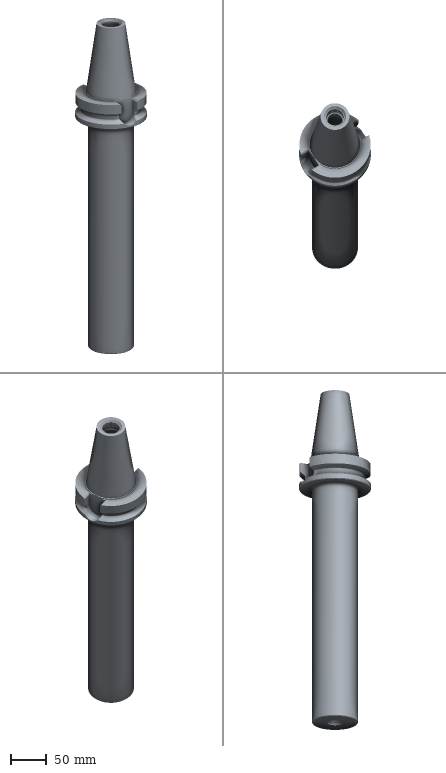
import cadquery as cq
import math


gauge_dia = 69.85
taper_length = 101.8
taper_ratio = 7 / 24
taper_tip_dia = gauge_dia - taper_ratio * taper_length

collar_dia = 72.5
collar_height = 1.5

flange_dia = 100.0
upper_flange_dia = 99.4
flange_bottom_z = -38.0
flange_bottom_chamfer = 1.0
groove_root_dia = 85.0
groove_center_z = -23.0
groove_outer_width = 15.0
groove_flank_angle = 30.0
groove_root_fillet = 0.5

slot_width = 25.7
slot_floor_x = 35.4
slot_bottom_z = -35.0
slot_top_chamfer = 2.0
slot_rim_chamfer = 1.0

bar_dia = 64.0
bar_length = 380.0
bar_root_fillet = 4.0
bar_end_chamfer = 1.0

bore_dia = 21.0
counterbore_dia = 24.5
counterbore_depth = 10.5
mouth_dia = 31.0
mouth_bottom_dia = 26.0
mouth_depth = 2.5

sleeve_outer_dia = 24.0
sleeve_inner_dia = bore_dia
sleeve_top_depth = 14.0
sleeve_length = 45.0
sleeve_top_z = taper_length - sleeve_top_depth
sleeve_bottom_z = sleeve_top_z - sleeve_length


def make_blank():
    """Taper, collar, grooved flange and bar, revolved about Z."""
    flange_r = flange_dia / 2
    upper_flange_r = upper_flange_dia / 2
    root_r = groove_root_dia / 2
    bar_r = bar_dia / 2
    flank_slope = math.tan(math.radians(groove_flank_angle))
    lower_flank_height = (flange_r - root_r) * flank_slope
    upper_flank_height = (upper_flange_r - root_r) * flank_slope
    groove_top_z = groove_center_z + groove_outer_width / 2
    groove_bottom_z = groove_center_z - groove_outer_width / 2
    fillet_offset = bar_root_fillet * (1 - math.sqrt(0.5))

    profile = (
        cq.Workplane("XZ")
        .moveTo(0, taper_length)
        .lineTo(taper_tip_dia / 2, taper_length)
        .lineTo(gauge_dia / 2, 0)
        .lineTo(collar_dia / 2, 0)
        .lineTo(collar_dia / 2, -collar_height)
        .lineTo(upper_flange_r, -collar_height)
        .lineTo(upper_flange_r, groove_top_z)
        .lineTo(root_r, groove_top_z - upper_flank_height)
        .lineTo(root_r, groove_bottom_z + lower_flank_height)
        .lineTo(flange_r, groove_bottom_z)
        .lineTo(flange_r, flange_bottom_z + flange_bottom_chamfer)
        .lineTo(flange_r - flange_bottom_chamfer, flange_bottom_z)
        .lineTo(bar_r + bar_root_fillet, flange_bottom_z)
        .threePointArc(
            (bar_r + fillet_offset, flange_bottom_z - fillet_offset),
            (bar_r, flange_bottom_z - bar_root_fillet),
        )
        .lineTo(bar_r, -bar_length + bar_end_chamfer)
        .lineTo(bar_r - bar_end_chamfer, -bar_length)
        .lineTo(0, -bar_length)
        .close()
    )
    blank = profile.revolve(360, (0, 0, 0), (0, 1, 0))
    groove_root_box = cq.selectors.BoxSelector(
        (-flange_r, -flange_r, groove_bottom_z + lower_flank_height / 2),
        (flange_r, flange_r, groove_top_z - upper_flank_height / 2),
        boundingbox=True,
    )
    return blank.edges(groove_root_box).edges("%CIRCLE").fillet(groove_root_fillet)


def make_drive_slot(side):
    """Cutter for one drive slot and its edge chamfers; side is +1 or -1 along X."""
    half_width = slot_width / 2
    arc_center_z = slot_bottom_z + half_width
    reach = flange_dia / 2 - slot_floor_x
    top_half_width = half_width + slot_top_chamfer
    rim_half_width = half_width + slot_rim_chamfer
    plane = cq.Plane(origin=(side * slot_floor_x, 0, 0), xDir=(0, 1, 0), normal=(side, 0, 0))
    up = plane.yDir.z

    slot = (
        cq.Workplane(plane)
        .moveTo(-half_width, 0)
        .lineTo(-half_width, up * arc_center_z)
        .threePointArc((0, up * slot_bottom_z), (half_width, up * arc_center_z))
        .lineTo(half_width, 0)
        .close()
        .extrude(reach)
    )
    top_chamfer = (
        cq.Workplane(plane)
        .polyline([
            (-top_half_width, -up * collar_height),
            (top_half_width, -up * collar_height),
            (0, -up * (collar_height + top_half_width)),
        ])
        .close()
        .extrude(reach)
    )
    rim_x = math.sqrt((upper_flange_dia / 2) ** 2 - rim_half_width ** 2)
    rim_chamfer = (
        cq.Workplane("XY")
        .polyline([
            (side * (rim_x - slot_rim_chamfer), -half_width),
            (side * rim_x, -rim_half_width),
            (side * flange_dia / 2, -rim_half_width),
            (side * flange_dia / 2, rim_half_width),
            (side * rim_x, rim_half_width),
            (side * (rim_x - slot_rim_chamfer), half_width),
        ])
        .close()
        .extrude(groove_center_z)
    )
    return slot.union(top_chamfer).union(rim_chamfer)


def make_bore():
    """Cutter for the conical mouth, the counterbore, the sleeve seat and the through bore."""
    mouth_bottom_z = taper_length - mouth_depth
    counterbore_bottom_z = taper_length - counterbore_depth
    return (
        cq.Workplane("XZ")
        .polyline([
            (0, taper_length),
            (mouth_dia / 2, taper_length),
            (mouth_bottom_dia / 2, mouth_bottom_z),
            (counterbore_dia / 2, mouth_bottom_z),
            (counterbore_dia / 2, counterbore_bottom_z),
            (sleeve_outer_dia / 2, counterbore_bottom_z),
            (sleeve_outer_dia / 2, sleeve_bottom_z),
            (bore_dia / 2, sleeve_bottom_z),
            (bore_dia / 2, -bar_length),
            (0, -bar_length),
        ])
        .close()
        .revolve(360, (0, 0, 0), (0, 1, 0))
    )


def make_sleeve():
    """Ring that lines the upper bore below the counterbore."""
    return (
        cq.Workplane("XY", origin=(0, 0, sleeve_bottom_z))
        .circle(sleeve_outer_dia / 2)
        .circle(sleeve_inner_dia / 2)
        .extrude(sleeve_length)
    )


holder = make_blank().cut(make_bore())
for side in (-1, 1):
    holder = holder.cut(make_drive_slot(side))

sleeve = make_sleeve()

result = cq.Compound.makeCompound([holder.val(), sleeve.val()])